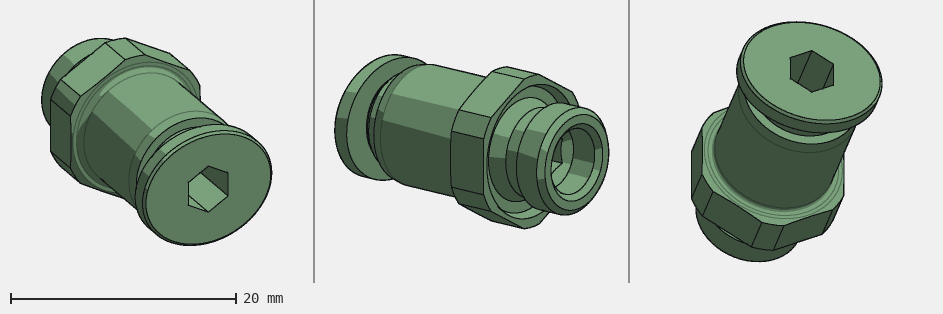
import cadquery as cq
import math

nut_start = 5.32
nut_end = 9.3
body_end = 19.32
collar_end = 20.68
flange_start = 21.44
overall_length = 23.05

thread_radius = 4.86
thread_chamfer = 0.53
thread_end = 2.9
neck_radius = 4.1
neck_start = 3.32
neck_end = 4.82
neck_flare_angle = 22.0

nut_across_flats = 13.0
nut_corner_diameter = 14.0
nut_chamfer_length = 0.15
nut_face_radius = 6.35

recess_depth = 1.0
recess_mouth_radius = 6.09
recess_floor_radius = 5.75

body_radius = 5.5
body_fillet = 0.48
body_taper_length = 1.0
body_taper_drop = 0.23
collar_radius = 4.4
stem_radius = 3.75
stem_flare = 0.07

flange_width = nut_across_flats
flange_height = 2 * body_radius
flange_chamfer = 0.23

bore_radius = 3.0
bore_chamfer = 0.5
bore_depth = 3.0
bore_point_angle = 118.0
socket_across_flats = 3.96


def revolve_about_x(sketch):
    """Turn a closed XY outline a full turn about the X axis."""
    return sketch.close().revolve(360, (0, 0, 0), (1, 0, 0))


def hexagonal_bar(across_flats, start, end):
    """Hexagonal bar along X with its flats facing +Y and -Y."""
    across_corners = across_flats / math.cos(math.pi / 6)
    return (
        cq.Workplane("YZ", origin=(start, 0, 0))
        .transformed(rotate=(0, 0, 30))
        .polygon(6, across_corners)
        .extrude(end - start)
    )


def flare_radius(station):
    """Radius of the flared foot of the neck at a station along X."""
    return neck_radius + (station - neck_end) * math.tan(math.radians(neck_flare_angle))


def make_spigot():
    recess_floor = nut_start + recess_depth
    return revolve_about_x(
        cq.Workplane("XY")
        .moveTo(0, 0)
        .lineTo(0, thread_radius - thread_chamfer)
        .lineTo(thread_chamfer, thread_radius)
        .lineTo(thread_end, thread_radius)
        .lineTo(neck_start, neck_radius)
        .lineTo(neck_end, neck_radius)
        .lineTo(recess_floor, flare_radius(recess_floor))
        .lineTo(recess_floor, 0)
    )


def make_nut():
    turned_blank = revolve_about_x(
        cq.Workplane("XY")
        .moveTo(nut_start, 0)
        .lineTo(nut_start, nut_corner_diameter / 2)
        .lineTo(nut_end - nut_chamfer_length, nut_corner_diameter / 2)
        .lineTo(nut_end, nut_face_radius)
        .lineTo(nut_end, 0)
    )
    recess = revolve_about_x(
        cq.Workplane("XY")
        .moveTo(nut_start, 0)
        .lineTo(nut_start, recess_mouth_radius)
        .lineTo(nut_start + recess_depth, recess_floor_radius)
        .lineTo(nut_start + recess_depth, 0)
    )
    return hexagonal_bar(nut_across_flats, nut_start, nut_end).intersect(turned_blank).cut(recess)


def make_sleeve():
    fillet_middle = body_fillet * (1 - math.sqrt(0.5))
    return revolve_about_x(
        cq.Workplane("XY")
        .moveTo(nut_end, 0)
        .lineTo(nut_end, body_radius + body_fillet)
        .threePointArc(
            (nut_end + fillet_middle, body_radius + fillet_middle),
            (nut_end + body_fillet, body_radius),
        )
        .lineTo(body_end - body_taper_length, body_radius)
        .lineTo(body_end, body_radius - body_taper_drop)
        .lineTo(body_end, collar_radius)
        .lineTo(collar_end, collar_radius)
        .lineTo(collar_end, stem_radius)
        .lineTo(flange_start - stem_flare, stem_radius)
        .lineTo(flange_start, stem_radius + stem_flare)
        .lineTo(flange_start, 0)
    )


def make_flange():
    return (
        cq.Workplane("YZ", origin=(flange_start, 0, 0))
        .ellipse(flange_width / 2, flange_height / 2)
        .extrude(overall_length - flange_start)
        .faces(">X")
        .chamfer(flange_chamfer)
    )


def make_bore():
    point_length = bore_radius / math.tan(math.radians(bore_point_angle / 2))
    return revolve_about_x(
        cq.Workplane("XY")
        .moveTo(0, 0)
        .lineTo(0, bore_radius + bore_chamfer)
        .lineTo(bore_chamfer, bore_radius)
        .lineTo(bore_depth, bore_radius)
        .lineTo(bore_depth + point_length, 0)
    )


socket = hexagonal_bar(socket_across_flats, bore_depth, overall_length)

result = (
    make_spigot()
    .union(make_nut())
    .union(make_sleeve())
    .union(make_flange())
    .cut(make_bore())
    .cut(socket)
)